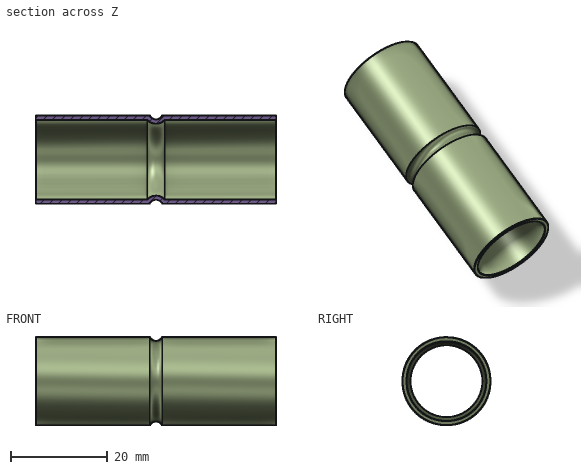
import cadquery as cq
import math

length = 50.0
outer_diameter = 18.4
bore_diameter = 16.5
end_chamfer = 0.1

groove_width = 2.55
groove_depth = 0.8

outer_radius = outer_diameter / 2
bore_radius = bore_diameter / 2
wall = outer_radius - bore_radius
half_length = length / 2
groove_half_width = groove_width / 2

groove_arc_radius = (groove_half_width**2 + groove_depth**2) / (2 * groove_depth)
groove_bottom_radius = outer_radius - groove_depth
arc_centre_radius = groove_bottom_radius + groove_arc_radius
bead_arc_radius = groove_arc_radius + wall
bead_crest_radius = groove_bottom_radius - wall
bead_half_width = math.sqrt(bead_arc_radius**2 - (arc_centre_radius - bore_radius) ** 2)

wall_section = (
    cq.Workplane("XY")
    .moveTo(-half_length + end_chamfer, bore_radius)
    .lineTo(-half_length, bore_radius + end_chamfer)
    .lineTo(-half_length, outer_radius - end_chamfer)
    .lineTo(-half_length + end_chamfer, outer_radius)
    .lineTo(-groove_half_width, outer_radius)
    .threePointArc((0, groove_bottom_radius), (groove_half_width, outer_radius))
    .lineTo(half_length - end_chamfer, outer_radius)
    .lineTo(half_length, outer_radius - end_chamfer)
    .lineTo(half_length, bore_radius + end_chamfer)
    .lineTo(half_length - end_chamfer, bore_radius)
    .lineTo(bead_half_width, bore_radius)
    .threePointArc((0, bead_crest_radius), (-bead_half_width, bore_radius))
    .close()
)

result = wall_section.revolve(360, (0, 0, 0), (1, 0, 0))